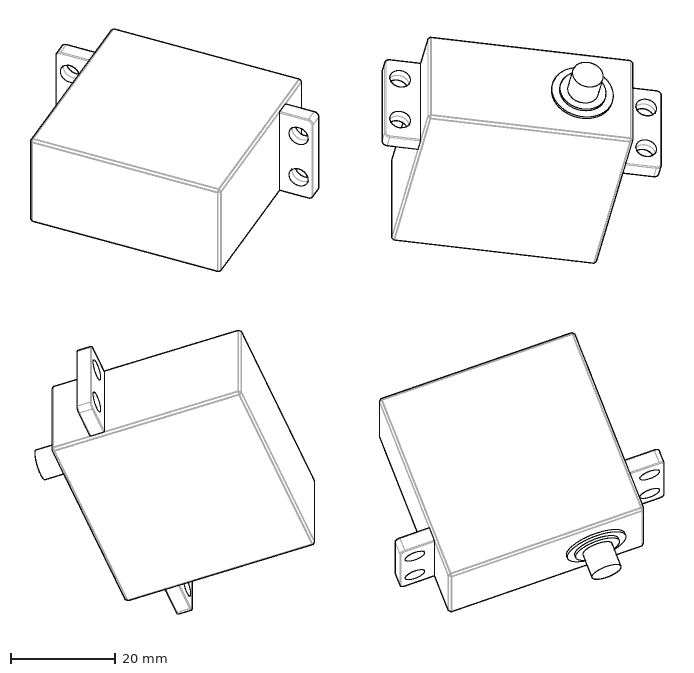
import cadquery as cq

BODY_LENGTH = 40.0
BODY_DEPTH = 39.0
BODY_HEIGHT = 20.0
BODY_CHAMFER = 0.5
BODY_EDGE_RADIUS = 0.2

FLANGE_LENGTH = 54.0
FLANGE_THICKNESS = 3.0
FLANGE_HEIGHT = 19.0
FLANGE_SETBACK = 8.0
FLANGE_CORNER_RADIUS = 1.0
FLANGE_EDGE_RADIUS = 0.2

HOLE_DIAMETER = 4.0
HOLE_SPACING_X = 48.0
HOLE_SPACING_Z = 10.0

SHAFT_OFFSET_X = -10.0
SHAFT_DIAMETER = 6.0
SHAFT_REACH = 6.0
LARGE_COLLAR_DIAMETER = 12.0
LARGE_COLLAR_REACH = 0.5
SMALL_COLLAR_DIAMETER = 9.0
SMALL_COLLAR_REACH = 1.0

SHAFT_FACE_Y = BODY_DEPTH / 2
FLANGE_CENTER_Y = SHAFT_FACE_Y - FLANGE_SETBACK - FLANGE_THICKNESS / 2

SHAFT_STEPS = (
    (LARGE_COLLAR_DIAMETER, LARGE_COLLAR_REACH),
    (SMALL_COLLAR_DIAMETER, SMALL_COLLAR_REACH),
    (SHAFT_DIAMETER, SHAFT_REACH),
)


def make_body():
    """Housing block with every edge chamfered, then softened."""
    block = cq.Workplane("XY").box(BODY_LENGTH, BODY_DEPTH, BODY_HEIGHT)
    return block.edges().chamfer(BODY_CHAMFER).edges().fillet(BODY_EDGE_RADIUS)


def make_flange():
    """Plate with rounded corners and softened rims."""
    plate = cq.Workplane("XY").box(FLANGE_LENGTH, FLANGE_THICKNESS, FLANGE_HEIGHT)
    plate = plate.edges("|Y").fillet(FLANGE_CORNER_RADIUS)
    plate = plate.faces("<Y or >Y").edges().fillet(FLANGE_EDGE_RADIUS)
    return plate.translate((0, FLANGE_CENTER_Y, 0))


def make_hole_cutters():
    """Four pins along Y that pierce the flange ears."""
    return (
        cq.Workplane("XZ", origin=(0, FLANGE_CENTER_Y, 0))
        .rarray(HOLE_SPACING_X, HOLE_SPACING_Z, 2, 2)
        .circle(HOLE_DIAMETER / 2)
        .extrude(FLANGE_THICKNESS, both=True)
    )


def make_shaft_step(diameter, reach):
    """Cylinder on the shaft axis, from the flange plane out past the shaft face by reach."""
    start = (SHAFT_OFFSET_X, FLANGE_CENTER_Y, 0)
    length = SHAFT_FACE_Y + reach - FLANGE_CENTER_Y
    return cq.Workplane("XZ", origin=start).circle(diameter / 2).extrude(-length)


result = make_body().union(make_flange()).cut(make_hole_cutters())

for step_diameter, step_reach in SHAFT_STEPS:
    result = result.union(make_shaft_step(step_diameter, step_reach))